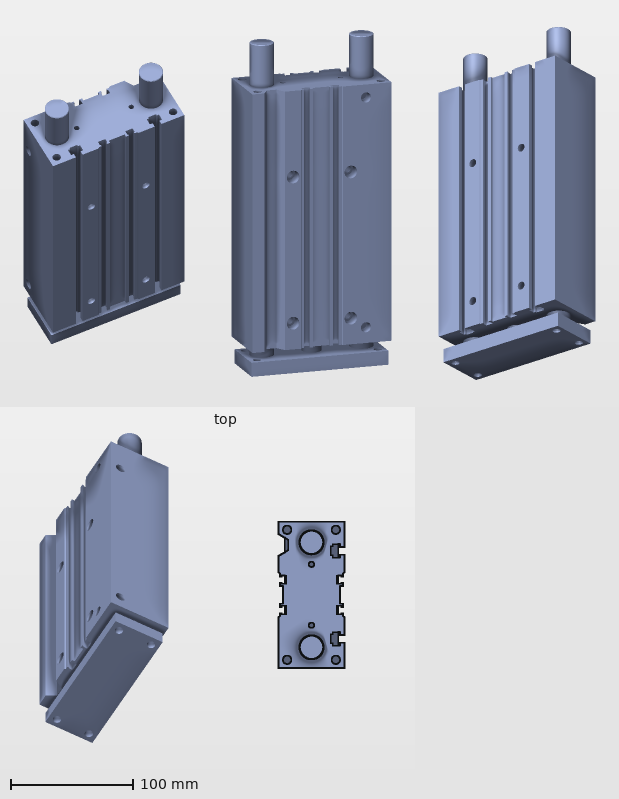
import cadquery as cq
import math

TOTAL_HEIGHT = 277.0

PLATE_WIDTH = 44.0
PLATE_LENGTH = 118.0
PLATE_THICKNESS = 12.0
PLATE_HOLE_X = 15.0
PLATE_HOLE_Y = 52.0

GUIDE_ROD_DIAMETER = 20.0
GUIDE_ROD_Y = 43.0
GUIDE_ROD_CHAMFER = 0.5
PISTON_ROD_DIAMETER = 16.0

HOUSING_WIDTH = 54.0
HOUSING_LENGTH = 120.0
HOUSING_BOTTOM = 21.5
HOUSING_TOP = 241.0
HOUSING_HEIGHT = HOUSING_TOP - HOUSING_BOTTOM
HALF_WIDTH = HOUSING_WIDTH / 2
HALF_LENGTH = HOUSING_LENGTH / 2

TAPER_GROOVE_Y = 40.7
TAPER_GROOVE_DEPTH = 8.0
TAPER_GROOVE_HALF_MOUTH = 9.0
TAPER_GROOVE_ANGLE = 30.0

BAND_DEPTH = 1.0
BAND_HALF_OUTER = 18.3
BAND_HALF_INNER = 17.5
RECESS_DEPTH = 3.5
RECESS_HALF_LENGTH = 7.2

SMALL_SLOT_Y = 12.5
SMALL_SLOT_HALF_MOUTH = 2.5
SMALL_SLOT_HALF_INNER = 3.3
SMALL_SLOT_LIP_DEPTH = 2.5
SMALL_SLOT_DEPTH = 6.5

LARGE_SLOT_Y = 36.0
LARGE_SLOT_HALF_MOUTH = 3.0
LARGE_SLOT_HALF_INNER = 5.5
LARGE_SLOT_HALF_FLOOR = 3.5
LARGE_SLOT_LIP_DEPTH = 4.0
LARGE_SLOT_SHOULDER_DEPTH = 9.7
LARGE_SLOT_DEPTH = 11.0

SCREW_HOLE_DIAMETER = 7.0
CORNER_HOLE_X = 20.0
CORNER_HOLE_Y = 53.2
CORNER_HOLE_DEPTH = 16.5
TOP_HOLE_DIAMETER = 4.5
TOP_HOLE_Y = 25.0
TOP_HOLE_DEPTH = 11.0

CROSS_HOLE_Y = 25.0
CROSS_HOLE_LOW_Z = 43.8
CROSS_HOLE_SPACING = 124.0
COUNTERBORE_DIAMETER = 10.8
COUNTERBORE_DEPTH = 11.0

PORT_DIAMETER = 8.5
PORT_DEPTH = 11.0
SIDE_PORT_Y = -38.0
SIDE_PORT_HEIGHTS = (35.0, 230.0)
END_PORT_X = -18.0
END_PORT_HEIGHTS = (34.5, 210.0)


def cylinder(diameter, start, end):
    """Straight cylinder between two points."""
    axis = cq.Vector(*end) - cq.Vector(*start)
    solid = cq.Solid.makeCylinder(diameter / 2, axis.Length, cq.Vector(*start), axis)
    return cq.Workplane(obj=solid)


def side_slot(side, center_y, half_profile):
    """Full-height slot in the X side given by its sign, symmetric about center_y.

    half_profile lists (depth, half width) pairs from the mouth to the floor.
    """
    upper = [(side * (HALF_WIDTH - depth), center_y + half) for depth, half in half_profile]
    lower = [(side * (HALF_WIDTH - depth), center_y - half) for depth, half in reversed(half_profile)]
    return (
        cq.Workplane("XY").workplane(offset=HOUSING_BOTTOM)
        .polyline(upper + lower).close().extrude(HOUSING_HEIGHT)
    )


def cut_side_slots(body):
    floor_narrowing = TAPER_GROOVE_DEPTH * math.tan(math.radians(TAPER_GROOVE_ANGLE))
    taper_groove = [
        (0, TAPER_GROOVE_HALF_MOUTH),
        (TAPER_GROOVE_DEPTH, TAPER_GROOVE_HALF_MOUTH - floor_narrowing),
    ]
    band = [(0, BAND_HALF_OUTER), (BAND_DEPTH, BAND_HALF_INNER)]
    recess = [(0, RECESS_HALF_LENGTH), (RECESS_DEPTH, RECESS_HALF_LENGTH)]
    small_slot = [
        (0, SMALL_SLOT_HALF_MOUTH),
        (SMALL_SLOT_LIP_DEPTH, SMALL_SLOT_HALF_MOUTH),
        (SMALL_SLOT_LIP_DEPTH, SMALL_SLOT_HALF_INNER),
        (SMALL_SLOT_DEPTH, SMALL_SLOT_HALF_INNER),
    ]
    large_slot = [
        (0, LARGE_SLOT_HALF_MOUTH),
        (LARGE_SLOT_LIP_DEPTH, LARGE_SLOT_HALF_MOUTH),
        (LARGE_SLOT_LIP_DEPTH, LARGE_SLOT_HALF_INNER),
        (LARGE_SLOT_SHOULDER_DEPTH, LARGE_SLOT_HALF_INNER),
        (LARGE_SLOT_SHOULDER_DEPTH, LARGE_SLOT_HALF_FLOOR),
        (LARGE_SLOT_DEPTH, LARGE_SLOT_HALF_FLOOR),
    ]

    body = body.cut(side_slot(-1, TAPER_GROOVE_Y, taper_groove))
    for side in (-1, 1):
        body = body.cut(side_slot(side, 0, band))
        body = body.cut(side_slot(side, 0, recess))
        for end in (-1, 1):
            body = body.cut(side_slot(side, end * SMALL_SLOT_Y, small_slot))
    for end in (-1, 1):
        body = body.cut(side_slot(1, end * LARGE_SLOT_Y, large_slot))
    return body


def cut_top_holes(body):
    for end in (-1, 1):
        for side in (-1, 1):
            x = side * CORNER_HOLE_X
            y = end * CORNER_HOLE_Y
            floor = HOUSING_TOP - CORNER_HOLE_DEPTH
            body = body.cut(cylinder(SCREW_HOLE_DIAMETER, (x, y, HOUSING_TOP), (x, y, floor)))
        y = end * TOP_HOLE_Y
        floor = HOUSING_TOP - TOP_HOLE_DEPTH
        body = body.cut(cylinder(TOP_HOLE_DIAMETER, (0, y, HOUSING_TOP), (0, y, floor)))
    return body


def cut_cross_holes(body):
    """Through holes along X, counterbored from the -X side."""
    counterbore_floor = COUNTERBORE_DEPTH - HALF_WIDTH
    for y in (-CROSS_HOLE_Y, CROSS_HOLE_Y):
        for z in (CROSS_HOLE_LOW_Z, CROSS_HOLE_LOW_Z + CROSS_HOLE_SPACING):
            mouth = (-HALF_WIDTH, y, z)
            body = body.cut(cylinder(SCREW_HOLE_DIAMETER, mouth, (HALF_WIDTH, y, z)))
            body = body.cut(cylinder(COUNTERBORE_DIAMETER, mouth, (counterbore_floor, y, z)))
    return body


def cut_ports(body):
    """Blind air ports in the -X side and the -Y end."""
    for z in SIDE_PORT_HEIGHTS:
        mouth = (-HALF_WIDTH, SIDE_PORT_Y, z)
        floor = (PORT_DEPTH - HALF_WIDTH, SIDE_PORT_Y, z)
        body = body.cut(cylinder(PORT_DIAMETER, mouth, floor))
    for z in END_PORT_HEIGHTS:
        mouth = (END_PORT_X, -HALF_LENGTH, z)
        floor = (END_PORT_X, PORT_DEPTH - HALF_LENGTH, z)
        body = body.cut(cylinder(PORT_DIAMETER, mouth, floor))
    return body


def cut_guide_bores(body):
    for y in (-GUIDE_ROD_Y, GUIDE_ROD_Y):
        body = body.cut(cylinder(GUIDE_ROD_DIAMETER, (0, y, HOUSING_BOTTOM), (0, y, HOUSING_TOP)))
    return body


def make_housing():
    body = cq.Workplane("XY").workplane(offset=HOUSING_BOTTOM).rect(HOUSING_WIDTH, HOUSING_LENGTH)
    body = body.extrude(HOUSING_HEIGHT)
    body = cut_side_slots(body)
    body = cut_top_holes(body)
    body = cut_cross_holes(body)
    body = cut_ports(body)
    return cut_guide_bores(body)


def make_carriage():
    """Tool plate with the two long, chamfered guide rods and the piston rod that meets the housing."""
    body = cq.Workplane("XY").rect(PLATE_WIDTH, PLATE_LENGTH).extrude(PLATE_THICKNESS)
    for x in (-PLATE_HOLE_X, PLATE_HOLE_X):
        for y in (-PLATE_HOLE_Y, PLATE_HOLE_Y):
            body = body.cut(cylinder(SCREW_HOLE_DIAMETER, (x, y, 0), (x, y, PLATE_THICKNESS)))
    for y in (-GUIDE_ROD_Y, GUIDE_ROD_Y):
        guide_rod = cylinder(GUIDE_ROD_DIAMETER, (0, y, PLATE_THICKNESS), (0, y, TOTAL_HEIGHT))
        body = body.union(guide_rod.faces(">Z").chamfer(GUIDE_ROD_CHAMFER))
    return body.union(
        cylinder(PISTON_ROD_DIAMETER, (0, 0, PLATE_THICKNESS), (0, 0, HOUSING_BOTTOM))
    )


housing = make_housing()
carriage = make_carriage()

result = cq.Compound.makeCompound([housing.val(), carriage.val()])